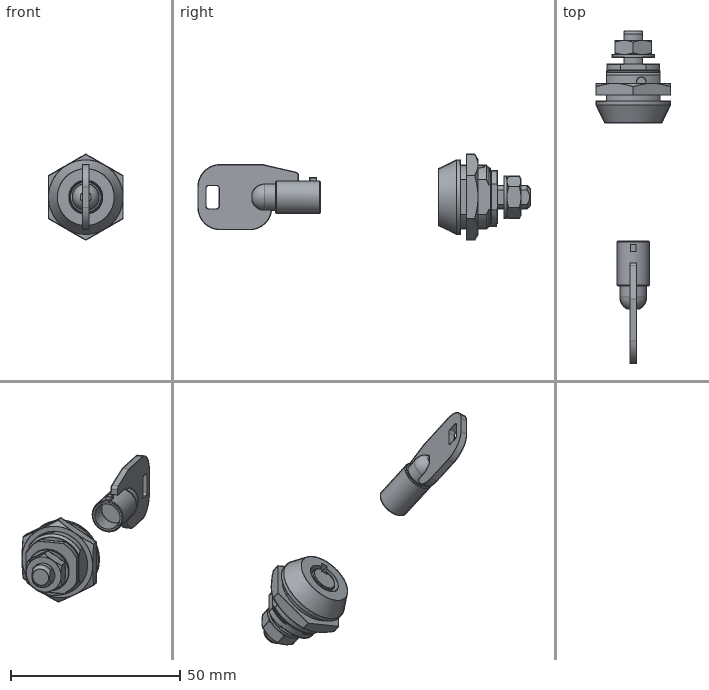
import cadquery as cq
import math


dial_diameter = 22.0
dial_face_diameter = 16.8
dial_cone_length = 5.3
seat_y = 6.5
barrel_diameter = 18.9
barrel_flats = 15.8
barrel_end_diameter = 17.4
barrel_taper_y = 14.2
barrel_taper_end_y = 14.9
barrel_end_y = 15.3
neck_diameter = 14.7
stop_disc_diameter = barrel_end_diameter
stop_disc_flats = 15.6
stop_disc_y = 15.6
stop_disc_end_y = 17.4
stop_lug_end_y = 17.1
stud_diameter = 7.0
stud_flats = 5.5
stud_chamfer = 1.0
stud_end_y = 27.2

dimple_diameter = 2.8
dimple_x = 2.4
dimple_y = 12.2
dimple_floor_z = 7.9

hex_sides = 6
panel_nut_flats = dial_diameter
panel_nut_y = 8.3
panel_nut_thickness = 3.4
stud_nut_flats = 10.8
stud_nut_y = 20.2
stud_nut_thickness = 4.1
stud_nut_flange_diameter = 12.6
stud_nut_flange_thickness = 0.9
nut_chamfer_angle = 30

overall_length = 98.3
key_length = 36.2
bow_end_y = stud_end_y - overall_length
key_tube_diameter = 9.6
key_tube_length = 13.3
key_tube_chamfer = 0.3
key_tube_bore = 7.9
stem_diameter = 8.0
dome_start = 19.7
dome_tip = 16.0
bit_width = 1.6
bit_length = 2.1
bit_inset = 1.1
bit_top = 5.8
blade_thickness = 2.1
blade_half_height = 9.6
blade_corner_radius = 6.6
blade_lower_back = 21.8
blade_upper_back = 29.7
blade_back_height = 7.2
blade_back_radius = 1.0
blade_slope_start = 19.1
bow_slot_length = 6.9
bow_slot_width = 3.8
bow_slot_center = 4.3
bow_slot_radius = 0.8

keyway_outer_diameter = 10.0
keyway_inner_diameter = key_tube_bore
keyway_core_chamfer = 0.3
keyway_depth = key_length - blade_upper_back
keyway_notch_width = 1.9
keyway_notch_top = 6.3
keyway_notch_bottom = 2.8


def cylinder(diameter, start_y, end_y):
    """Solid cylinder on the Y axis between two Y positions."""
    plane = cq.Workplane("XZ", origin=(0, start_y, 0))
    return plane.circle(diameter / 2).extrude(start_y - end_y)


def box(x_range, y_range, z_range):
    """Box given by its (low, high) limits along each axis."""
    limits = (x_range, y_range, z_range)
    sizes = [high - low for low, high in limits]
    corner = tuple(low for low, high in limits)
    return cq.Workplane("XY").box(*sizes, centered=False).translate(corner)


def revolve(profile):
    """Turn a closed (radius, y) outline about the Y axis."""
    return profile.close().revolve(360, (0, 0, 0), (0, 1, 0))


def flatten_sides(body, across_flats):
    """Cut two parallel flats facing -X and +X."""
    extents = body.val().BoundingBox()
    half = across_flats / 2
    return body.intersect(box((-half, half), (extents.ymin, extents.ymax), (extents.zmin, extents.zmax)))


def make_keyway():
    """Ring-shaped keyway around a chamfered core, with a notch at the top for the key bit."""
    core = cylinder(keyway_inner_diameter, 0, keyway_depth).faces("<Y").chamfer(keyway_core_chamfer)
    ring = cylinder(keyway_outer_diameter, 0, keyway_depth).cut(core)
    half = keyway_notch_width / 2
    notch = box((-half, half), (0, keyway_depth), (keyway_notch_bottom, keyway_notch_top))
    return ring.union(notch)


def make_dial():
    rim = dial_diameter / 2
    outline = [(0, 0), (dial_face_diameter / 2, 0), (rim, dial_cone_length), (rim, seat_y), (0, seat_y)]
    return revolve(cq.Workplane("XY").polyline(outline))


def make_barrel():
    """Flat-sided barrel with a stepped-down, tapered back end and a dimple on top."""
    radius = barrel_diameter / 2
    outline = [
        (0, seat_y),
        (radius, seat_y),
        (radius, barrel_taper_y),
        (barrel_end_diameter / 2, barrel_taper_end_y),
        (barrel_end_diameter / 2, barrel_end_y),
        (0, barrel_end_y),
    ]
    barrel = flatten_sides(revolve(cq.Workplane("XY").polyline(outline)), barrel_flats)
    dimple = cq.Workplane("XY", origin=(dimple_x, dimple_y, dimple_floor_z))
    return barrel.cut(dimple.circle(dimple_diameter / 2).extrude(radius))


def make_stop_disc():
    """Round disc with four flats, on the -X, +X, -Z and +Z sides."""
    disc = cylinder(stop_disc_diameter, stop_disc_y, stop_disc_end_y)
    half = stop_disc_flats / 2
    return disc.intersect(box((-half, half), (stop_disc_y, stop_disc_end_y), (-half, half)))


def make_stop_lug():
    """Lug on the back of the barrel that fills the space under the bottom flat of the stop disc."""
    radius = barrel_end_diameter / 2
    lug = cylinder(barrel_end_diameter, barrel_end_y, stop_lug_end_y)
    space = box((-radius, radius), (barrel_end_y, stop_lug_end_y), (-radius, -stop_disc_flats / 2))
    return lug.intersect(space)


def make_stud():
    stud = cylinder(stud_diameter, stop_disc_end_y, stud_end_y).faces(">Y").chamfer(stud_chamfer)
    return flatten_sides(stud, stud_flats)


def make_lock_body():
    neck = cylinder(neck_diameter, barrel_end_y, stop_disc_y)
    body = make_dial()
    for part in (make_barrel(), neck, make_stop_disc(), make_stop_lug(), make_stud()):
        body = body.union(part)
    return body.cut(make_keyway())


def hex_blank(across_flats, start_y, thickness, chamfer_front):
    """Hexagon with corners on Z and its corners turned off at the back, and at the front if asked."""
    inner = across_flats / 2
    corner = inner / math.cos(math.pi / hex_sides)
    drop = (corner - inner) * math.tan(math.radians(nut_chamfer_angle))
    end_y = start_y + thickness
    plane = cq.Workplane("XZ", origin=(0, start_y, 0))
    prism = plane.transformed(rotate=(0, 0, 90)).polygon(hex_sides, 2 * corner).extrude(-thickness)
    if chamfer_front:
        front = [(0, start_y), (inner, start_y), (corner, start_y + drop)]
    else:
        front = [(0, start_y), (corner, start_y)]
    outline = front + [(corner, end_y - drop), (inner, end_y), (0, end_y)]
    return prism.intersect(revolve(cq.Workplane("XY").polyline(outline)))


def make_panel_nut():
    nut = hex_blank(panel_nut_flats, panel_nut_y, panel_nut_thickness, False)
    return nut.cut(cylinder(barrel_diameter, panel_nut_y, panel_nut_y + panel_nut_thickness))


def make_stud_nut():
    """Hexagon nut with a washer flange on its front side."""
    flange_y = stud_nut_y - stud_nut_flange_thickness
    flange = cylinder(stud_nut_flange_diameter, flange_y, stud_nut_y)
    nut = hex_blank(stud_nut_flats, stud_nut_y, stud_nut_thickness, True).union(flange)
    return nut.cut(cylinder(stud_diameter, flange_y, stud_nut_y + stud_nut_thickness))


def make_blade():
    """Flat key bow, with a slot near its end and a nose reaching over the tube."""
    height = blade_half_height
    radius = blade_corner_radius
    diagonal = radius * (1 - math.cos(math.radians(45)))
    plane = cq.Workplane("YZ", origin=(-blade_thickness / 2, bow_end_y, 0))
    blade = (
        plane.moveTo(radius, height)
        .threePointArc((diagonal, height - diagonal), (0, height - radius))
        .lineTo(0, radius - height)
        .threePointArc((diagonal, diagonal - height), (radius, -height))
        .lineTo(blade_lower_back - radius, -height)
        .threePointArc((blade_lower_back - diagonal, diagonal - height), (blade_lower_back, radius - height))
        .lineTo(blade_lower_back, 0)
        .lineTo(blade_upper_back, 0)
        .lineTo(blade_upper_back, blade_back_height)
        .lineTo(blade_slope_start, height)
        .close()
        .extrude(blade_thickness)
    )
    nose = cq.selectors.NearestToPointSelector((0, bow_end_y + blade_upper_back, blade_back_height))
    blade = blade.edges(nose).fillet(blade_back_radius)
    slot = plane.center(bow_slot_center, 0).rect(bow_slot_width, bow_slot_length).extrude(blade_thickness)
    return blade.cut(slot.edges("|X").fillet(bow_slot_radius))


def make_stem():
    """Round stem whose front end is a ball with a flat tip."""
    radius = stem_diameter / 2
    ball_y = bow_end_y + dome_start
    tip_y = bow_end_y + dome_tip
    back_y = bow_end_y + key_length - key_tube_length
    tip_angle = math.acos((dome_start - dome_tip) / radius)
    mid_angle = (tip_angle + math.pi / 2) / 2
    tip_radius = radius * math.sin(tip_angle)
    mid_point = (radius * math.sin(mid_angle), ball_y - radius * math.cos(mid_angle))
    return revolve(
        cq.Workplane("XY")
        .moveTo(0, tip_y)
        .lineTo(tip_radius, tip_y)
        .threePointArc(mid_point, (radius, ball_y))
        .lineTo(radius, back_y)
        .lineTo(0, back_y)
    )


def make_key():
    back_y = bow_end_y + key_length
    tube = cylinder(key_tube_diameter, back_y - key_tube_length, back_y)
    tube = tube.faces("<Y or >Y").chamfer(key_tube_chamfer)
    bore = cylinder(key_tube_bore, bow_end_y + blade_upper_back, back_y)
    bit_back_y = back_y - bit_inset
    half = bit_width / 2
    bit_bottom = (key_tube_diameter + key_tube_bore) / 4
    bit = box((-half, half), (bit_back_y - bit_length, bit_back_y), (bit_bottom, bit_top))
    return tube.union(make_stem()).union(make_blade()).cut(bore).union(bit)


lock_body = make_lock_body()
panel_nut = make_panel_nut()
stud_nut = make_stud_nut()
key = make_key()

result = cq.Compound.makeCompound([lock_body.val(), panel_nut.val(), stud_nut.val(), key.val()])